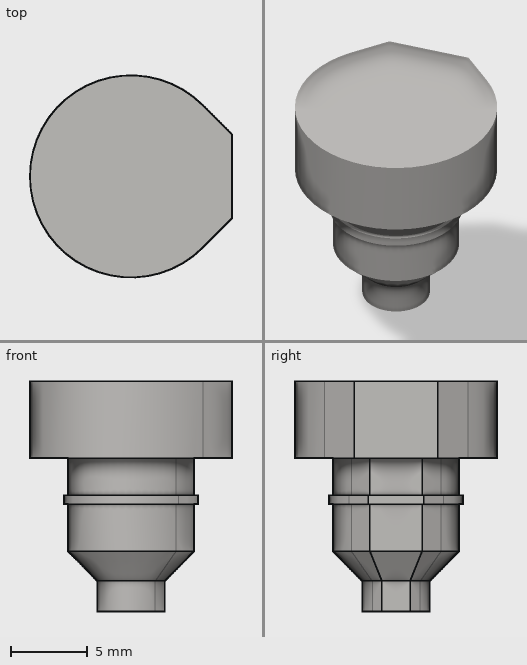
import cadquery as cq
import math

head_radius = 6.58
neck_radius = 4.11
collar_radius = 4.36
tip_radius = 2.2

total_height = 15.0
head_bottom = 9.99
collar_top = 7.59
collar_bottom = 6.99
taper_top = 3.93
taper_bottom = 2.0


def teardrop(radius, height):
    """Circle with two tangent 45 degree lines toward +X, cut by a flat at x = radius."""
    tangent = radius * math.sqrt(0.5)
    half_flat = radius * (math.sqrt(2) - 1)
    return (
        cq.Workplane("XY", origin=(0, 0, height))
        .moveTo(radius, -half_flat)
        .lineTo(radius, half_flat)
        .lineTo(tangent, tangent)
        .threePointArc((-radius, 0), (tangent, -tangent))
        .close()
    )


def teardrop_prism(radius, bottom, top):
    return teardrop(radius, bottom).extrude(top - bottom)


def teardrop_taper(bottom_radius, bottom, top_radius, top):
    """Ruled transition between two teardrop outlines."""
    lower = teardrop(bottom_radius, bottom).val()
    upper = teardrop(top_radius, top).val()
    return cq.Workplane(obj=cq.Solid.makeLoft([lower, upper], True))


tip = teardrop_prism(tip_radius, 0, taper_bottom)
taper = teardrop_taper(tip_radius, taper_bottom, neck_radius, taper_top)
neck = teardrop_prism(neck_radius, taper_top, head_bottom)
collar = teardrop_prism(collar_radius, collar_bottom, collar_top)
head = teardrop_prism(head_radius, head_bottom, total_height)

result = tip.union(taper).union(neck).union(collar).union(head)